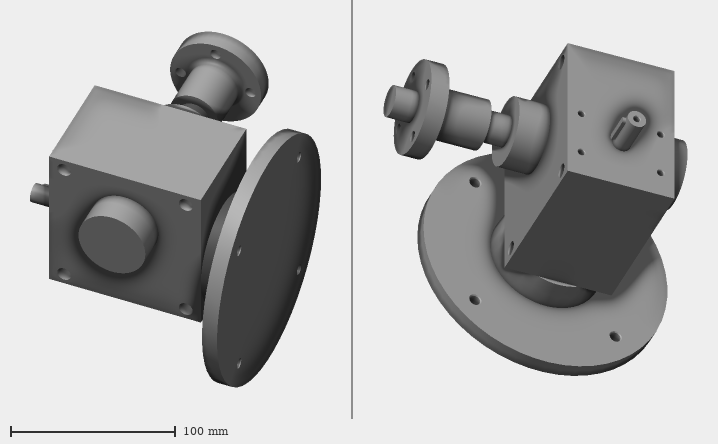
import cadquery as cq
import math


HOUSING_LENGTH = 100.0
HOUSING_WIDTH = 70.0
HOUSING_HEIGHT = 100.0
HOUSING_BOTTOM = -32.5

BOSS_DIAMETER = 44.0
BOSS_LENGTH = 20.0
BOSS_SPAN = HOUSING_WIDTH + 2 * BOSS_LENGTH
BOSS_START_Y = -BOSS_SPAN / 2
OUTPUT_AXIS_X = HOUSING_LENGTH / 2
OUTPUT_AXIS_Z = 30.0

MOUNT_HOLE_DIAMETER = 9.0
MOUNT_HOLE_SPACING_X = 80.2
MOUNT_HOLE_SPACING_Z = 85.0
MOUNT_HOLE_CENTER_Z = HOUSING_BOTTOM + HOUSING_HEIGHT / 2

TAPPED_HOLE_DIAMETER = 4.2
TAPPED_HOLE_MOUTH_DIAMETER = 5.0
TAPPED_HOLE_DEPTH = 12.0
TAPPED_HOLE_SPACING_Y = 52.0
TAPPED_HOLE_SPACING_Z = 30.0
DRILL_POINT_ANGLE = 118.0

NECK_SMALL_DIAMETER = HOUSING_WIDTH
NECK_LARGE_DIAMETER = 72.8
NECK_LENGTH = 20.0
FLANGE_DIAMETER = 160.0
FLANGE_THICKNESS = 10.0
FLANGE_START_X = HOUSING_LENGTH + NECK_LENGTH
FLANGE_HOLE_DIAMETER = 6.8
FLANGE_HOLE_MOUTH_DIAMETER = 8.0
FLANGE_HOLE_SPACING = 92.0

INPUT_SHAFT_DIAMETER = 12.0
INPUT_SHAFT_LENGTH = 25.1
INPUT_SHAFT_END_X = -INPUT_SHAFT_LENGTH
KEY_LENGTH = 20.0
KEY_WIDTH = 4.0
KEY_TOP = 8.0
KEY_INSET = 2.5

OUTPUT_SHAFT_DIAMETER = 20.0
OUTPUT_SHAFT_LENGTH = 186.0
OUTPUT_SHAFT_END_Y = BOSS_START_Y + OUTPUT_SHAFT_LENGTH

HUB_DIAMETER = 32.0
COUPLING_LENGTH = 45.2
COUPLING_TO_SHAFT_END = 15.0
COUPLING_FLANGE_DIAMETER = 60.0
COUPLING_FLANGE_THICKNESS = 11.8
COUPLING_FILLET = 3.0
COUPLING_HOLE_DIAMETER = 7.0
COUPLING_HOLE_CIRCLE_DIAMETER = 46.0
COUPLING_HOLE_COUNT = 4
COUPLING_END_Y = OUTPUT_SHAFT_END_Y - COUPLING_TO_SHAFT_END
COUPLING_START_Y = COUPLING_END_Y - COUPLING_LENGTH
COUPLING_FLANGE_START_Y = COUPLING_END_Y - COUPLING_FLANGE_THICKNESS


def input_axis_plane(x):
    """Workplane across the input axis, facing +X."""
    return cq.Workplane("YZ", origin=(x, 0, 0))


def output_axis_plane(y):
    """Workplane across the output axis, facing +Y."""
    origin = (OUTPUT_AXIS_X, y, OUTPUT_AXIS_Z)
    return cq.Workplane(cq.Plane(origin=origin, xDir=(1, 0, 0), normal=(0, 1, 0)))


def output_axis_cylinder(diameter, start_y, length):
    return output_axis_plane(start_y).circle(diameter / 2).extrude(length)


def tapped_hole(x, y, z):
    """Cutter for a blind hole toward +X, with a 45 degree mouth chamfer and a drill point."""
    radius = TAPPED_HOLE_DIAMETER / 2
    mouth_radius = TAPPED_HOLE_MOUTH_DIAMETER / 2
    chamfer = mouth_radius - radius
    point_length = radius / math.tan(math.radians(DRILL_POINT_ANGLE / 2))
    profile = [
        (0, 0),
        (0, mouth_radius),
        (chamfer, radius),
        (TAPPED_HOLE_DEPTH, radius),
        (TAPPED_HOLE_DEPTH + point_length, 0),
    ]
    cutter = cq.Workplane("XY").polyline(profile).close().revolve(360, (0, 0, 0), (1, 0, 0))
    return cutter.translate((x, y, z))


def make_housing():
    block = (
        cq.Workplane("XY", origin=(0, 0, HOUSING_BOTTOM))
        .box(HOUSING_LENGTH, HOUSING_WIDTH, HOUSING_HEIGHT, centered=(False, True, False))
    )
    bosses = output_axis_cylinder(BOSS_DIAMETER, BOSS_START_Y, BOSS_SPAN)
    shaft_bore = output_axis_cylinder(OUTPUT_SHAFT_DIAMETER, BOSS_START_Y, BOSS_SPAN)
    mount_holes = (
        cq.Workplane("XZ", origin=(OUTPUT_AXIS_X, HOUSING_WIDTH / 2, MOUNT_HOLE_CENTER_Z))
        .rect(MOUNT_HOLE_SPACING_X, MOUNT_HOLE_SPACING_Z, forConstruction=True)
        .vertices()
        .circle(MOUNT_HOLE_DIAMETER / 2)
        .extrude(HOUSING_WIDTH)
    )
    housing = block.union(bosses).cut(shaft_bore).cut(mount_holes)
    for side_y in (-1, 1):
        for side_z in (-1, 1):
            y = side_y * TAPPED_HOLE_SPACING_Y / 2
            z = side_z * TAPPED_HOLE_SPACING_Z / 2
            housing = housing.cut(tapped_hole(0, y, z))
    return housing


def make_motor_flange():
    flange_end_x = FLANGE_START_X + FLANGE_THICKNESS
    half_profile = [
        (HOUSING_LENGTH, 0),
        (HOUSING_LENGTH, NECK_SMALL_DIAMETER / 2),
        (FLANGE_START_X, NECK_LARGE_DIAMETER / 2),
        (FLANGE_START_X, FLANGE_DIAMETER / 2),
        (flange_end_x, FLANGE_DIAMETER / 2),
        (flange_end_x, 0),
    ]
    flange = cq.Workplane("XY").polyline(half_profile).close().revolve(360, (0, 0, 0), (1, 0, 0))
    hole_pattern = (
        input_axis_plane(FLANGE_START_X)
        .rect(FLANGE_HOLE_SPACING, FLANGE_HOLE_SPACING, forConstruction=True)
        .vertices()
    )
    hole_chamfer = (FLANGE_HOLE_MOUTH_DIAMETER - FLANGE_HOLE_DIAMETER) / 2
    through_holes = hole_pattern.circle(FLANGE_HOLE_DIAMETER / 2).extrude(FLANGE_THICKNESS)
    mouths = hole_pattern.circle(FLANGE_HOLE_MOUTH_DIAMETER / 2).extrude(hole_chamfer, taper=45)
    return flange.cut(through_holes).cut(mouths)


def make_input_shaft():
    """Input shaft with its round-ended key on the +Y side."""
    shaft = input_axis_plane(INPUT_SHAFT_END_X).circle(INPUT_SHAFT_DIAMETER / 2).extrude(INPUT_SHAFT_LENGTH)
    key_center_x = INPUT_SHAFT_END_X + KEY_INSET + KEY_LENGTH / 2
    key_bottom = INPUT_SHAFT_DIAMETER / 2 - KEY_WIDTH / 2
    key = (
        cq.Workplane("XZ", origin=(key_center_x, key_bottom, 0))
        .slot2D(KEY_LENGTH, KEY_WIDTH)
        .extrude(key_bottom - KEY_TOP)
    )
    return shaft.union(key).cut(tapped_hole(INPUT_SHAFT_END_X, 0, 0))


def make_output_shaft():
    return output_axis_cylinder(OUTPUT_SHAFT_DIAMETER, BOSS_START_Y, OUTPUT_SHAFT_LENGTH)


def make_coupling():
    flange = output_axis_cylinder(
        COUPLING_FLANGE_DIAMETER, COUPLING_FLANGE_START_Y, COUPLING_FLANGE_THICKNESS
    )
    hub = output_axis_cylinder(HUB_DIAMETER, COUPLING_START_Y, COUPLING_LENGTH)
    body = flange.union(hub)
    inner_face = body.faces(cq.selectors.NearestToPointSelector(
        (OUTPUT_AXIS_X + COUPLING_HOLE_CIRCLE_DIAMETER / 2, COUPLING_FLANGE_START_Y, OUTPUT_AXIS_Z)
    ))
    body = inner_face.edges(cq.selectors.RadiusNthSelector(0)).fillet(COUPLING_FILLET)
    bolt_holes = (
        output_axis_plane(COUPLING_FLANGE_START_Y)
        .polarArray(COUPLING_HOLE_CIRCLE_DIAMETER / 2, 0, 360, COUPLING_HOLE_COUNT)
        .circle(COUPLING_HOLE_DIAMETER / 2)
        .extrude(COUPLING_FLANGE_THICKNESS)
    )
    shaft_bore = output_axis_cylinder(OUTPUT_SHAFT_DIAMETER, COUPLING_START_Y, COUPLING_LENGTH)
    return body.cut(bolt_holes).cut(shaft_bore)


housing = make_housing()
motor_flange = make_motor_flange()
input_shaft = make_input_shaft()
output_shaft = make_output_shaft()
coupling = make_coupling()

result = cq.Compound.makeCompound([
    housing.val(),
    motor_flange.val(),
    input_shaft.val(),
    output_shaft.val(),
    coupling.val(),
])